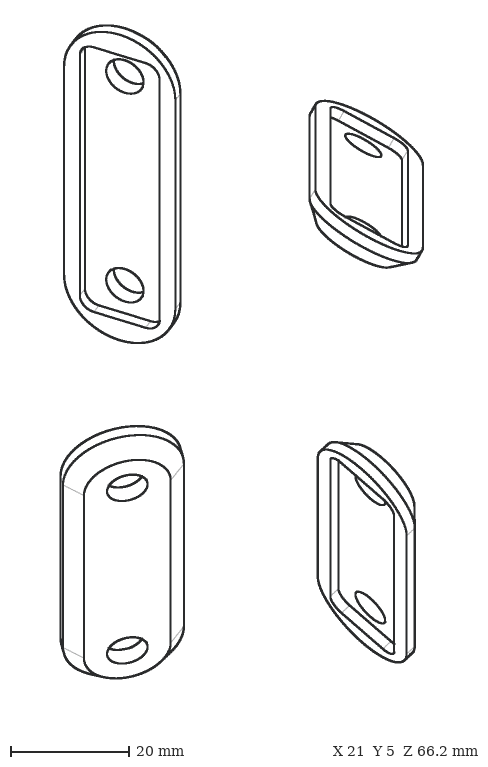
import cadquery as cq

length = 66.25
width = 21.0
thickness = 5.0
bevel = 3.0

hole_diameter = 7.0
hole_spacing = length - width

pocket_width = 15.05
pocket_length = 57.4
pocket_depth = 2.0
pocket_corner_radius = 2.65


def front_workplane():
    """Plane of the front face (Y = 0); its normal points toward -Y."""
    return cq.Workplane("XZ")


def make_plate():
    plate = front_workplane().slot2D(length, width, angle=90).extrude(-thickness)
    return plate.faces(">Y").chamfer(bevel)


def make_pocket():
    pocket = front_workplane().rect(pocket_width, pocket_length).extrude(-pocket_depth)
    return pocket.edges("|Y").fillet(pocket_corner_radius)


def make_holes():
    centers = [(0, -hole_spacing / 2), (0, hole_spacing / 2)]
    return front_workplane().pushPoints(centers).circle(hole_diameter / 2).extrude(-thickness)


result = make_plate().cut(make_pocket()).cut(make_holes())